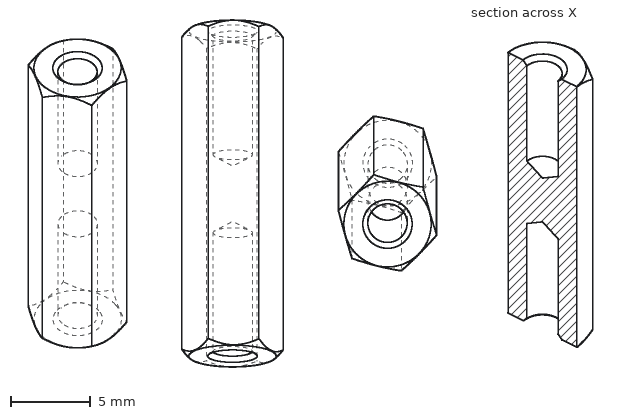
import cadquery as cq
import math

length = 21.0
across_flats = 5.5
across_corners = across_flats / math.cos(math.radians(30))

end_face_diameter = 5.45
corner_chamfer_height = 0.42

hole_diameter = 2.45
hole_depth = 7.98
drill_tip_angle = 118.0
countersink_diameter = 3.09
countersink_angle = 90.0


def cone_height(radial_change, included_angle):
    """Axial length over which a cone's radius changes by radial_change."""
    return radial_change / math.tan(math.radians(included_angle / 2))


def make_corner_envelope():
    """Round bar with chamfered ends that bounds the hexagon."""
    end_radius = end_face_diameter / 2
    corner_radius = across_corners / 2
    return (
        cq.Workplane("XZ")
        .moveTo(0, 0)
        .lineTo(end_radius, 0)
        .lineTo(corner_radius, corner_chamfer_height)
        .lineTo(corner_radius, length - corner_chamfer_height)
        .lineTo(end_radius, length)
        .lineTo(0, length)
        .close()
        .revolve(360, (0, 0, 0), (0, 1, 0))
    )


def make_top_hole():
    """Countersunk blind hole with a conical drill tip, opening at the top."""
    hole_radius = hole_diameter / 2
    mouth_radius = countersink_diameter / 2
    countersink_depth = cone_height(mouth_radius - hole_radius, countersink_angle)
    tip_height = cone_height(hole_radius, drill_tip_angle)
    shoulder_z = length - hole_depth
    return (
        cq.Workplane("XZ")
        .moveTo(0, length)
        .lineTo(mouth_radius, length)
        .lineTo(hole_radius, length - countersink_depth)
        .lineTo(hole_radius, shoulder_z)
        .lineTo(0, shoulder_z - tip_height)
        .close()
        .revolve(360, (0, 0, 0), (0, 1, 0))
    )


hexagon = cq.Workplane("XY").polygon(6, across_corners).extrude(length)
body = hexagon.intersect(make_corner_envelope())

top_hole = make_top_hole()
bottom_hole = top_hole.mirror("XY", (0, 0, length / 2))
result = body.cut(top_hole).cut(bottom_hole)